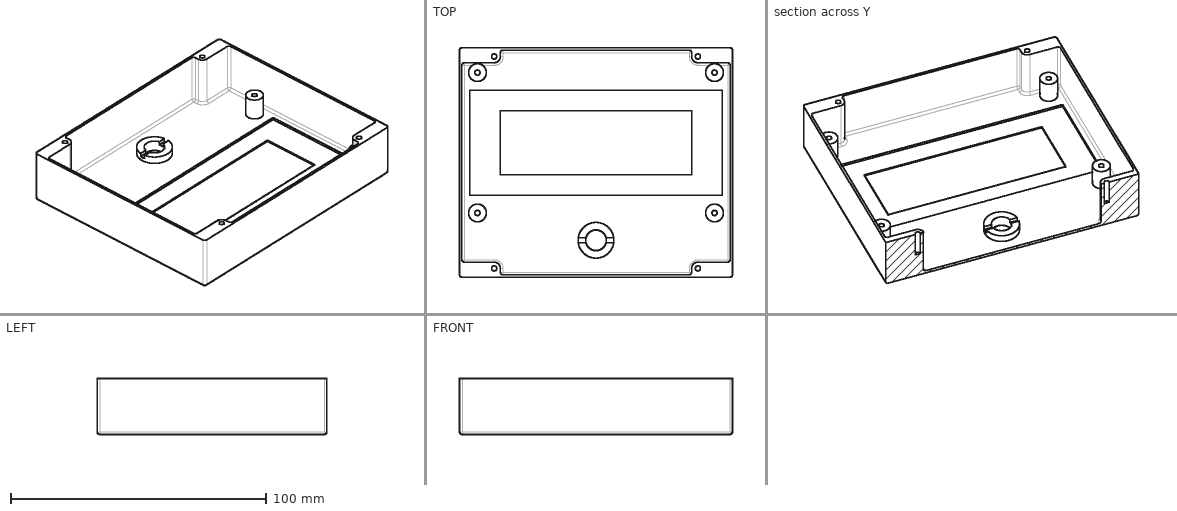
import cadquery as cq

length = 107.0
width = 90.0
height = 22.0
wall = 1.0
floor = 1.5
outer_round = 1.1
inner_round = 1.0

screw_x = 39.9
screw_y = 41.5
post_radius = 2.5
screw_hole_dia = 2.0
screw_hole_depth = 10.7
corner_sides = [(side_x, side_y) for side_x in (-1, 1) for side_y in (-1, 1)]

standoff_x = 46.4
standoff_rows = (35.2, -19.8)
standoff_dia = 7.0
standoff_height = 9.0
pilot_dia = 2.0

display_y = 7.7
window_length = 75.0
window_width = 25.0
recess_length = 99.0
recess_width = 41.0
recess_depth = 1.0

button_y = -30.5
button_hole_dia = 8.0
button_ring_dia = 14.0
button_ring_height = 3.0
button_slot_width = 2.0
button_slot_depth = 1.5


def box_from(z, size_x, size_y, size_z, y=0.0):
    """Box centred on (0, y) with its underside at height z."""
    return cq.Workplane("XY", origin=(0, y, z)).box(size_x, size_y, size_z, centered=(True, True, False))


def cylinder_from(z, diameter, size_z, x=0.0, y=0.0):
    """Upright cylinder centred on (x, y) with its underside at height z."""
    return cq.Workplane("XY", origin=(x, y, z)).circle(diameter / 2).extrude(size_z)


def make_shell_block():
    """Solid outer block, rounded on the upright and bottom edges."""
    return box_from(0, length, width, height).edges("|Z or <Z").fillet(outer_round)


def make_corner_block(side_x, side_y):
    """Block filling one corner, with its inward corner rounded about the screw axis."""
    inner_x = screw_x - post_radius
    inner_y = screw_y - post_radius
    return (
        cq.Workplane("XY", origin=(0, 0, floor))
        .moveTo(side_x * length / 2, side_y * width / 2)
        .lineTo(side_x * length / 2, side_y * inner_y)
        .lineTo(side_x * screw_x, side_y * inner_y)
        .radiusArc((side_x * inner_x, side_y * screw_y), side_x * side_y * post_radius)
        .lineTo(side_x * inner_x, side_y * width / 2)
        .close()
        .extrude(height - floor)
    )


def make_cavity():
    """Inner space between the corner blocks, rounded in its upright corners and along the floor."""
    cavity = box_from(floor, length - 2 * wall, width - 2 * wall, height - floor)
    for side_x, side_y in corner_sides:
        cavity = cavity.cut(make_corner_block(side_x, side_y))
    wall_corners = cavity.edges("|Z").edges("<X or >X or <Y or >Y")
    return wall_corners.fillet(inner_round).faces("<Z").edges().fillet(inner_round)


def make_screw_hole(x, y):
    return cylinder_from(height - screw_hole_depth, screw_hole_dia, screw_hole_depth, x, y)


def make_standoff(x, y):
    """Round post standing on the floor with a pilot hole down its axis."""
    post = cylinder_from(floor, standoff_dia, standoff_height, x, y)
    return post.cut(cylinder_from(floor, pilot_dia, standoff_height, x, y))


def make_display_cut():
    """Window through the floor together with the recess around it."""
    window = box_from(0, window_length, window_width, floor, display_y)
    recess = box_from(floor - recess_depth, recess_length, recess_width, recess_depth, display_y)
    return window.union(recess)


def make_button_ring():
    """Raised ring with a slot along X sunk into its top face."""
    ring = cylinder_from(floor, button_ring_dia, button_ring_height, y=button_y)
    slot_bottom = floor + button_ring_height - button_slot_depth
    return ring.cut(box_from(slot_bottom, button_ring_dia, button_slot_width, button_slot_depth, button_y))


result = make_shell_block().cut(make_cavity())

for side_x, side_y in corner_sides:
    result = result.cut(make_screw_hole(side_x * screw_x, side_y * screw_y))

for row_y in standoff_rows:
    for side_x in (-1, 1):
        result = result.union(make_standoff(side_x * standoff_x, row_y))

result = result.cut(make_display_cut())
result = result.union(make_button_ring())
result = result.cut(cylinder_from(0, button_hole_dia, floor + button_ring_height, y=button_y))